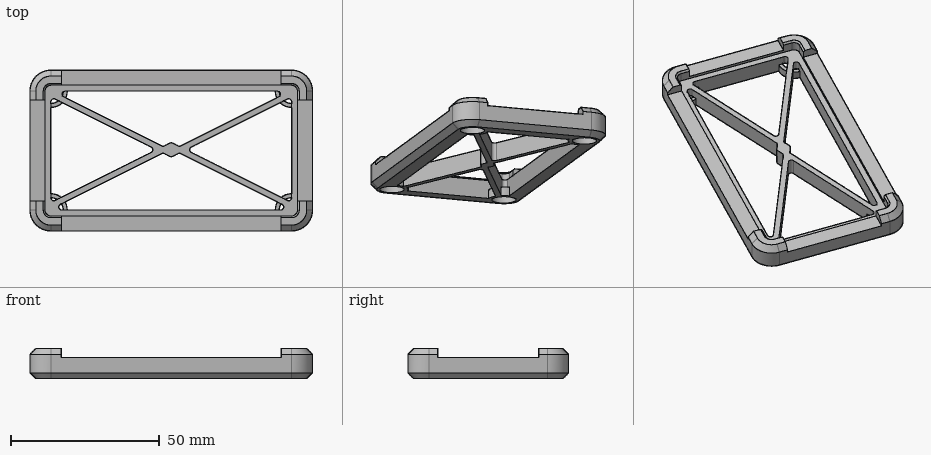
import cadquery as cq
import math

LENGTH = 95.2
WIDTH = 54.2
HEIGHT = 10.2
OUTER_CHAMFER = 2.0

WALL = 5.1
RECESS_LENGTH = LENGTH - 2 * WALL
RECESS_WIDTH = WIDTH - 2 * WALL
RECESS_RADIUS = 2.0
OUTER_RADIUS = RECESS_RADIUS + WALL
LEDGE_Z = 6.2
RECESS_CHAMFER = 0.6

RAIL_Z = 7.2
LONG_GAP = 74.0
SHORT_GAP = 34.0

LEDGE = 2.0
OPENING_LENGTH = RECESS_LENGTH - 2 * LEDGE
OPENING_WIDTH = RECESS_WIDTH - 2 * LEDGE
RIB_WIDTH = 2.0
RIB_SLOPE = 0.5
UPPER_RIB_TIP_Y = -1.1
LOWER_RIB_TIP_Y = 1.65
RIB_HALF_Y = RIB_WIDTH / 2 * math.hypot(1, RIB_SLOPE)
WINDOW_FILLET = 1.0

POCKET_RADIUS = 4.1
POCKET_DEPTH = 3.0
POCKET_WALL = 1.4
POCKET_CENTERS = [
    (x_side * OPENING_LENGTH / 2, y_side * OPENING_WIDTH / 2)
    for x_side in (-1, 1)
    for y_side in (-1, 1)
]


def make_body():
    """Rounded block, chamfered all round at the top and the bottom."""
    block = cq.Workplane("XY").rect(LENGTH, WIDTH).extrude(HEIGHT)
    block = block.edges("|Z").fillet(OUTER_RADIUS)
    return block.faces("<Z or >Z").edges().chamfer(OUTER_CHAMFER)


def make_recess():
    """Space above the ledge, flared at the top by the inner chamfer of the wall."""
    outline = cq.Sketch().rect(RECESS_LENGTH, RECESS_WIDTH).vertices().fillet(RECESS_RADIUS)
    recess = cq.Workplane("XY", origin=(0, 0, LEDGE_Z)).placeSketch(outline).extrude(HEIGHT - LEDGE_Z)
    flare = (
        cq.Workplane("XY", origin=(0, 0, HEIGHT - RECESS_CHAMFER))
        .placeSketch(outline)
        .extrude(RECESS_CHAMFER, taper=-45)
    )
    return recess.union(flare)


def make_rail_gaps():
    """Material removed above the four rails, leaving only the corners raised."""
    gap_height = HEIGHT - RAIL_Z
    along_x = cq.Workplane("XY").box(LONG_GAP, WIDTH, gap_height, centered=(True, True, False))
    along_y = cq.Workplane("XY").box(LENGTH, SHORT_GAP, gap_height, centered=(True, True, False))
    return along_x.union(along_y).translate((0, 0, RAIL_Z))


def extrude_window(outline):
    """Through cut with every corner rounded."""
    window = cq.Workplane("XY").polyline(outline).close().extrude(LEDGE_Z)
    return window.edges("|Z").fillet(WINDOW_FILLET)


def make_upper_window(own_tip_y, opposite_tip_y):
    """Window on the +Y side, bounded by the rib opening that way and by the other rib's tip."""
    wall_y = OPENING_WIDTH / 2
    end_x = (wall_y - own_tip_y - RIB_HALF_Y) / RIB_SLOPE
    notch_x = (opposite_tip_y - own_tip_y) / (2 * RIB_SLOPE)
    notch_y = (opposite_tip_y + own_tip_y) / 2 + RIB_HALF_Y
    outline = [
        (-end_x, wall_y),
        (-notch_x, notch_y),
        (0, opposite_tip_y + RIB_HALF_Y),
        (notch_x, notch_y),
        (end_x, wall_y),
    ]
    return extrude_window(outline)


def make_right_window():
    """Window on the +X side, between the two ribs and the ledge."""
    wall_x = OPENING_LENGTH / 2
    notch_x = (LOWER_RIB_TIP_Y - UPPER_RIB_TIP_Y + 2 * RIB_HALF_Y) / (2 * RIB_SLOPE)
    notch_y = (LOWER_RIB_TIP_Y + UPPER_RIB_TIP_Y) / 2
    outline = [
        (notch_x, notch_y),
        (wall_x, UPPER_RIB_TIP_Y + RIB_SLOPE * wall_x - RIB_HALF_Y),
        (wall_x, LOWER_RIB_TIP_Y - RIB_SLOPE * wall_x + RIB_HALF_Y),
    ]
    return extrude_window(outline)


def make_windows():
    """All four windows; the lower one is an upper window with the rib roles swapped, mirrored."""
    upper = make_upper_window(UPPER_RIB_TIP_Y, LOWER_RIB_TIP_Y)
    lower = make_upper_window(-LOWER_RIB_TIP_Y, -UPPER_RIB_TIP_Y).mirror("XZ")
    right = make_right_window()
    left = right.mirror("YZ")
    return upper.union(lower).union(right).union(left)


def make_pocket_cylinders(radius):
    """Four cylinders standing on the underside, as deep as the pockets."""
    return cq.Workplane("XY").pushPoints(POCKET_CENTERS).circle(radius).extrude(POCKET_DEPTH)


result = (
    make_body()
    .cut(make_recess())
    .cut(make_rail_gaps())
    .cut(make_windows().cut(make_pocket_cylinders(POCKET_RADIUS + POCKET_WALL)))
    .cut(make_pocket_cylinders(POCKET_RADIUS))
)